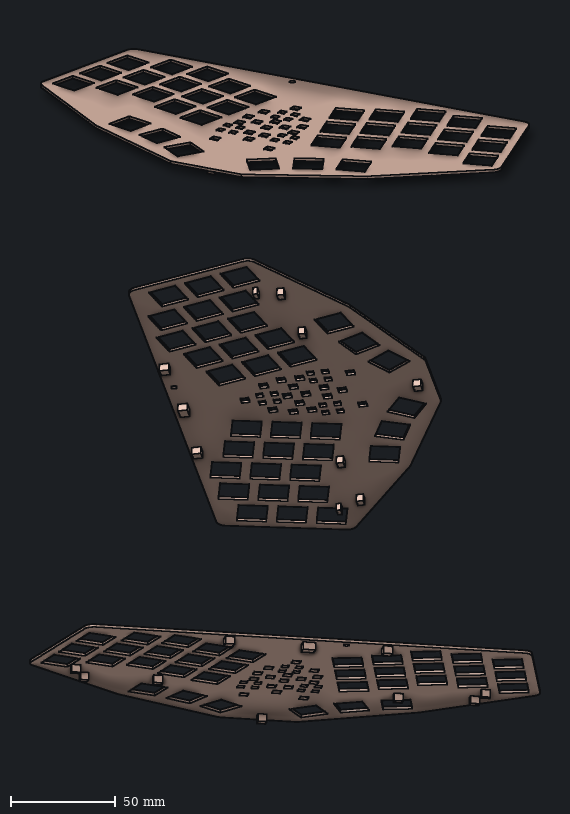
import cadquery as cq
import math

plate_width = 248.12
plate_depth = 127.0
total_height = 5.2
plate_thickness = 1.5

side_tilt = 15.0
lower_knee = (73.4, -37.5)
front_half_width = 19.05
lower_edge_slope = 36.6
corner_radius = 5.0

switch_size = 14.0
key_pitch = 19.05
rows = 3
key_mirror_x = 0.15
inner_top_key = (24.76, 32.55)
column_offsets = (0.0, 2.5, 7.5, 2.5, -7.5)
thumb_keys = (
    (60.54, -27.53, 15.0),
    (40.18, -35.55, 25.0),
    (21.37, -46.25, 35.0),
)

large_opening = 4.0
small_opening = 3.2
middle_x = -0.35
large_single_y = (28.1, 7.5, -1.5, -19.3)
large_pairs = (
    (11.1, 16.8),
    (14.6, 7.5),
    (7.5, 3.0),
    (14.6, -1.5),
    (4.1, -11.2),
    (14.6, -26.2),
)
cluster_pitch = (6.9, 7.2)
cluster_centers = ((0.0, 16.8), (-14.8, -11.0), (14.6, -11.0))

round_hole_diameter = 2.69
round_hole_center = (-18.7, 59.0)

foot_height = total_height - plate_thickness
foot_width = 4.3
foot_depth = 3.3
rear_foot_depth = 4.5
thin_foot_depth = 2.2
feet = (
    (-38.5, 59.4, foot_width, rear_foot_depth),
    (38.5, 59.4, foot_width, rear_foot_depth),
    (-0.4, 57.9, 6.0, rear_foot_depth),
    (-97.6, 3.0, foot_width, thin_foot_depth),
    (102.0, 3.0, foot_width, thin_foot_depth),
    (-94.5, -8.6, foot_width, foot_depth),
    (95.7, -8.6, 3.9, foot_depth),
    (-57.9, -11.6, foot_width, foot_depth),
    (60.2, -6.2, foot_width, foot_depth),
    (-0.4, -56.1, foot_width, 3.9),
)


def right_outline():
    """Sharp corners of the right half, from the rear edge to the front edge."""
    half_width = plate_width / 2
    half_depth = plate_depth / 2
    tilt = math.radians(side_tilt)
    slope = math.radians(lower_edge_slope)
    knee_x, knee_y = lower_knee
    arc_x = half_width - corner_radius
    edge_y = knee_y + (arc_x - knee_x) * math.tan(slope)
    arc_y = edge_y + corner_radius / math.cos(slope)
    side_distance = arc_x * math.cos(tilt) + arc_y * math.sin(tilt) + corner_radius

    def side_x(y):
        return (side_distance - y * math.sin(tilt)) / math.cos(tilt)

    lean = math.tan(slope) * math.tan(tilt)
    corner_x = (side_x(knee_y) + knee_x * lean) / (1 + lean)
    corner_y = knee_y + (corner_x - knee_x) * math.tan(slope)
    return [
        (side_x(half_depth), half_depth),
        (corner_x, corner_y),
        lower_knee,
        (front_half_width, -half_depth),
    ]


def make_plate():
    right = right_outline()
    left = [(-x, y) for x, y in reversed(right)]
    plate = cq.Workplane("XY").polyline(right + left).close().extrude(plate_thickness)
    behind_knee = cq.selectors.BoxSelector(
        (-plate_width, lower_knee[1] / 2, -plate_thickness),
        (plate_width, plate_depth, 2 * plate_thickness),
    )
    return plate.edges("|Z").edges(behind_knee).fillet(corner_radius)


def square_cutter(x, y, size, angle=0.0):
    cutter = cq.Workplane("XY").rect(size, size).extrude(plate_thickness)
    return cutter.rotate((0, 0, 0), (0, 0, 1), angle).translate((x, y, 0))


def key_positions():
    """Right-hand switch centres relative to the key mirror plane, with their tilt."""
    tilt = math.radians(side_tilt)
    positions = list(thumb_keys)
    for column, offset in enumerate(column_offsets):
        for row in range(rows):
            across = column * key_pitch
            along = offset - row * key_pitch
            x = inner_top_key[0] + across * math.cos(tilt) - along * math.sin(tilt)
            y = inner_top_key[1] + across * math.sin(tilt) + along * math.cos(tilt)
            positions.append((x, y, side_tilt))
    return positions


def cut_keys(body):
    for x, y, angle in key_positions():
        for side in (-1, 1):
            body = body.cut(square_cutter(key_mirror_x + side * x, y, switch_size, side * angle))
    return body


def cut_middle_openings(body):
    centers = [(middle_x, y) for y in large_single_y]
    for x, y in large_pairs:
        centers += [(middle_x - x, y), (middle_x + x, y)]
    for x, y in centers:
        body = body.cut(square_cutter(x, y, large_opening))
    for x, y in cluster_centers:
        for side_x in (-1, 1):
            for side_y in (-1, 1):
                opening_x = x + side_x * cluster_pitch[0] / 2
                opening_y = y + side_y * cluster_pitch[1] / 2
                body = body.cut(square_cutter(opening_x, opening_y, small_opening))
    return body


def cut_round_hole(body):
    hole = cq.Workplane("XY").circle(round_hole_diameter / 2).extrude(plate_thickness)
    return body.cut(hole.translate((*round_hole_center, 0)))


def add_feet(body):
    for x, y, width, depth in feet:
        foot = cq.Workplane("XY").rect(width, depth).extrude(-foot_height)
        body = body.union(foot.translate((x, y, 0)))
    return body


body = make_plate()
body = cut_keys(body)
body = cut_middle_openings(body)
body = cut_round_hole(body)
result = add_feet(body)